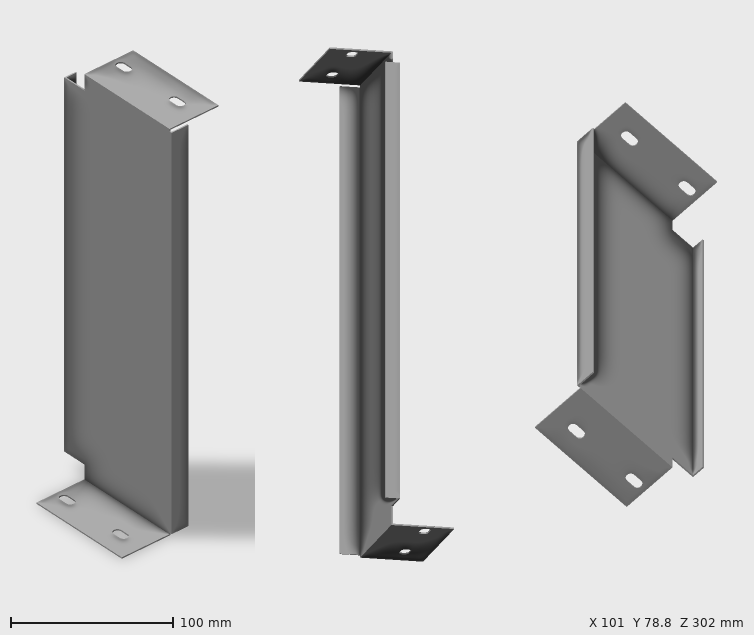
import cadquery as cq

height = 302.0
width = 101.0
thickness = 1.0

flange_length = 80.0
flange_depth = (78.8 + thickness) / 2
corner_relief = 2.0
flange_right = width - corner_relief
flange_left = flange_right - flange_length

left_lip_depth = 9.5
left_lip_inset = 12.0
right_lip_depth = 13.5

slot_length = 12.0
slot_width = 6.3
slot_spacing = 50.0
slot_end_offset = 10.0
slot_edge_offset = 16.3


def box(x_size, y_size, z_size, corner):
    """Box grown from its lowest corner."""
    return cq.Workplane("XY").box(x_size, y_size, z_size, centered=False).translate(corner)


def flange(y_start, z_start, slot_y):
    """Horizontal flange with a pair of slots running along X."""
    plate = box(flange_length, flange_depth, thickness, (flange_left, y_start, z_start))
    first_slot_x = flange_left + slot_end_offset
    slots = (
        cq.Workplane("XY", origin=(0, 0, z_start))
        .pushPoints([(first_slot_x, slot_y), (first_slot_x + slot_spacing, slot_y)])
        .slot2D(slot_length, slot_width)
        .extrude(thickness)
    )
    return plate.cut(slots)


left_lip_height = height - 2 * left_lip_inset
right_lip_height = height - 2 * corner_relief
web = box(flange_length, thickness, height, (flange_left, 0, 0))
left_tab = box(flange_left, thickness, left_lip_height, (0, 0, left_lip_inset))
right_tab = box(corner_relief, thickness, right_lip_height, (flange_right, 0, corner_relief))

left_lip = box(thickness, left_lip_depth, left_lip_height, (0, 0, left_lip_inset))
right_lip = box(thickness, right_lip_depth, right_lip_height, (width - thickness, 0, corner_relief))

top_flange = flange(0, height - thickness, flange_depth - slot_edge_offset)
bottom_flange_edge = thickness - flange_depth
bottom_flange = flange(bottom_flange_edge, 0, bottom_flange_edge + slot_edge_offset)

result = web
for piece in (left_tab, right_tab, left_lip, right_lip, top_flange, bottom_flange):
    result = result.union(piece)